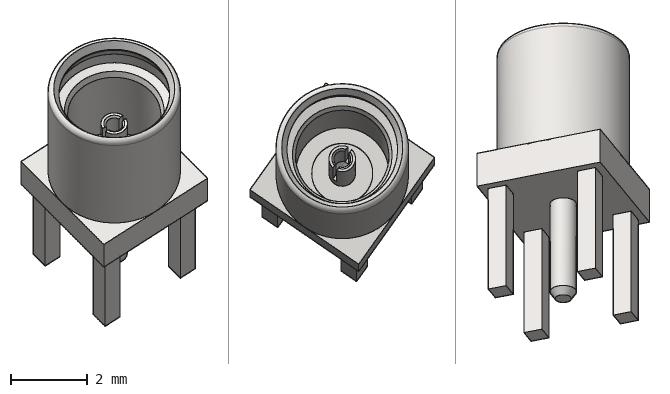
import cadquery as cq

base_side = 3.46
leg_length = 3.0
base_thickness = 0.98
leg_width = 0.5
leg_inset = 0.225
total_height = 7.5

barrel_radius = base_side / 2
rim_round = 0.15
mouth_radius = 1.575
lip_radius = 1.44
lip_top_depth = 0.2
lip_bottom_depth = 0.24
groove_radius = 1.545
groove_top_depth = 0.55
groove_bottom_depth = 0.92
shoulder_radius = 1.3
shoulder_depth = 0.96
socket_radius = 1.215
socket_top_depth = 1.12

insulator_radius = 0.795
insulator_height = 0.04
contact_radius = 0.345
contact_top_depth = 1.5
bore_radius = 0.22
bore_mouth_radius = 0.27
bore_depth = 1.5
slot_width = 0.12
pin_bottom = 0.18
pin_tip_length = 0.2
pin_tip_radius = 0.21

base_top = leg_length + base_thickness
contact_top = total_height - contact_top_depth


def cylinder(radius, bottom, top):
    """Vertical cylinder on the part axis."""
    return cq.Workplane("XY").workplane(offset=bottom).circle(radius).extrude(top - bottom)


def revolve_profile(points):
    """Revolve (radius, height) points around the part axis."""
    return cq.Workplane("XZ").polyline(points).close().revolve(360, (0, 0), (0, 1))


def make_base():
    """Square plate carrying one square leg near each corner."""
    plate = cq.Workplane("XY").rect(base_side, base_side).extrude(base_thickness)
    plate = plate.translate((0, 0, leg_length))
    leg_spacing = base_side - 2 * leg_inset - leg_width
    legs = (
        cq.Workplane("XY")
        .rect(leg_spacing, leg_spacing, forConstruction=True)
        .vertices()
        .rect(leg_width, leg_width)
        .extrude(leg_length)
    )
    return plate.union(legs)


def make_barrel():
    """Round shell with a flared mouth, a snap groove and a deep socket."""
    shell = cylinder(barrel_radius, base_top, total_height).faces(">Z").edges().fillet(rim_round)
    socket = revolve_profile([
        (0, base_top),
        (socket_radius, base_top),
        (socket_radius, total_height - socket_top_depth),
        (shoulder_radius, total_height - shoulder_depth),
        (groove_radius, total_height - groove_bottom_depth),
        (groove_radius, total_height - groove_top_depth),
        (lip_radius, total_height - lip_bottom_depth),
        (lip_radius, total_height - lip_top_depth),
        (mouth_radius, total_height),
        (0, total_height),
    ])
    return shell.cut(socket)


def make_contact():
    """Slotted contact sleeve above the base, with a tapered solder pin below."""
    body = revolve_profile([
        (0, pin_bottom),
        (pin_tip_radius, pin_bottom),
        (contact_radius, pin_bottom + pin_tip_length),
        (contact_radius, contact_top),
        (0, contact_top),
    ])
    lead_in = bore_mouth_radius - bore_radius
    bore_bottom = contact_top - bore_depth
    bore = revolve_profile([
        (0, bore_bottom - bore_radius),
        (bore_radius, bore_bottom),
        (bore_radius, contact_top - lead_in),
        (bore_mouth_radius, contact_top),
        (0, contact_top),
    ])
    slot = (
        cq.Workplane("XY")
        .workplane(offset=bore_bottom)
        .rect(slot_width, 2 * contact_radius)
        .extrude(bore_depth)
    )
    return body.cut(bore).cut(slot)


insulator = cylinder(insulator_radius, base_top, base_top + insulator_height)
result = make_base().union(make_barrel()).union(insulator).union(make_contact())